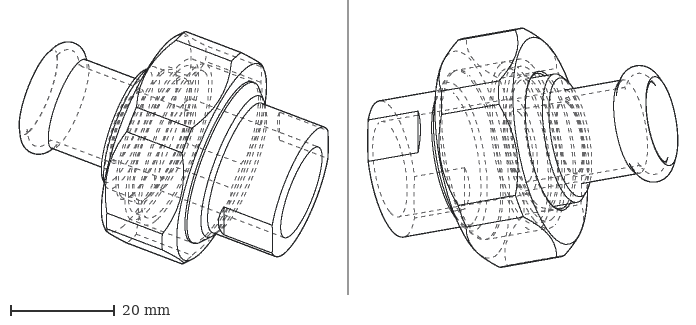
import cadquery as cq
import math

overall_length = 56.0

bead_lip_radius = 8.7
bead_start = 0.7
bead_edge_radius = 9.9
bead_peak = 3.2
bead_radius = 11.35
bead_end = 2 * bead_peak - bead_start
bead_foot = 5.95
bead_foot_radius = 18.65 / 2
tube_start = 6.45
tube_radius = 18.3 / 2
tube_fillet = 0.8
collar_start = 18.9
collar_radius = 12.55
collar_chamfer = 0.95
flange_radius = 30.3 / 2

lip_radius = 15.7 / 2
lip_middle = 0.8
lip_end = 1.4
lip_end_radius = 8.1
groove_start = 2.1
groove_edge_radius = 9.2
groove_top_radius = 9.85
groove_end = 2 * bead_peak - groove_start
groove_foot = 4.65
groove_foot_radius = 8.6
inner_bore_radius = 15.3 / 2
waist_radius = 14.0 / 2
waist_chamfer = 0.15

nut_start = 22.95
nut_end = 39.05
across_flats = 41.0
corner_diameter = 44.7
nut_face_radius = 20.2
nut_chamfer_length = 2.1
nut_bore_radius = 26.5 / 2
nut_bore_chamfer = 0.35
nut_lip_end = nut_start + 3.35

socket_start = nut_lip_end + 2.8
shoulder_radius = 33.1 / 2
shoulder_end = 39.5
cone_end = 41.5
cone_end_radius = shoulder_radius - (cone_end - shoulder_end)
neck_start = 41.85
neck_radius = 13.8
barrel_start = 42.35
barrel_radius = 13.3
end_chamfer_length = 0.3
end_face_radius = 11.1
socket_bore_radius = 18.65 / 2
flat_start = 45.4
flat_offset = 12.55


def turn(profile):
    """Revolve a closed (x, radius) profile about the X axis."""
    return profile.close().revolve(360, (0, 0, 0), (1, 0, 0))


def make_tail():
    fillet_start = collar_start - tube_fillet
    fillet_top = tube_radius + tube_fillet
    return turn(
        cq.Workplane("XY")
        .moveTo(0, bead_lip_radius)
        .lineTo(bead_start, bead_edge_radius)
        .threePointArc((bead_peak, bead_radius), (bead_end, bead_edge_radius))
        .lineTo(bead_foot, bead_foot_radius)
        .tangentArcPoint((tube_start, tube_radius), relative=False)
        .lineTo(fillet_start, tube_radius)
        .tangentArcPoint((collar_start, fillet_top), relative=False)
        .lineTo(collar_start, collar_radius - collar_chamfer)
        .lineTo(collar_start + collar_chamfer, collar_radius)
        .lineTo(nut_lip_end, collar_radius)
        .lineTo(nut_lip_end, flange_radius)
        .lineTo(socket_start, flange_radius)
        .lineTo(socket_start, waist_radius)
        .lineTo(collar_start + waist_chamfer, waist_radius)
        .lineTo(collar_start, waist_radius + waist_chamfer)
        .lineTo(collar_start, inner_bore_radius)
        .lineTo(tube_start, inner_bore_radius)
        .tangentArcPoint((groove_foot, groove_foot_radius), relative=False)
        .lineTo(groove_end, groove_edge_radius)
        .threePointArc((bead_peak, groove_top_radius), (groove_start, groove_edge_radius))
        .lineTo(lip_end, lip_end_radius)
        .threePointArc((lip_middle, lip_radius), (0, bead_lip_radius))
    )


def make_nut():
    corner_radius = corner_diameter / 2
    hexagon = (
        cq.Workplane("YZ", origin=(nut_start, 0, 0))
        .polygon(6, across_flats / math.cos(math.pi / 6))
        .extrude(nut_end - nut_start)
    )
    ring = turn(
        cq.Workplane("XY")
        .moveTo(nut_start, nut_face_radius)
        .lineTo(nut_start + nut_chamfer_length, corner_radius)
        .lineTo(nut_end - nut_chamfer_length, corner_radius)
        .lineTo(nut_end, nut_face_radius)
        .lineTo(nut_end, shoulder_radius)
        .lineTo(nut_lip_end, shoulder_radius)
        .lineTo(nut_lip_end, nut_bore_radius)
        .lineTo(nut_start + nut_bore_chamfer, nut_bore_radius)
        .lineTo(nut_start, nut_bore_radius + nut_bore_chamfer)
    )
    return hexagon.intersect(ring)


def make_flat_cutter():
    """Block that cuts the wrench flat on the +Y side, with a 45 degree run-out."""
    depth = 2 * (barrel_radius - flat_offset)
    return (
        cq.Workplane("XY")
        .moveTo(flat_start, flat_offset)
        .lineTo(overall_length, flat_offset)
        .lineTo(overall_length, flat_offset + depth)
        .lineTo(flat_start - depth, flat_offset + depth)
        .close()
        .extrude(barrel_radius, both=True)
    )


def make_socket_end():
    body = turn(
        cq.Workplane("XY")
        .moveTo(socket_start, socket_bore_radius)
        .lineTo(socket_start, shoulder_radius)
        .lineTo(shoulder_end, shoulder_radius)
        .lineTo(cone_end, cone_end_radius)
        .lineTo(neck_start, neck_radius)
        .tangentArcPoint((barrel_start, barrel_radius), relative=False)
        .lineTo(overall_length - end_chamfer_length, barrel_radius)
        .lineTo(overall_length, end_face_radius)
        .lineTo(overall_length, socket_bore_radius)
    )
    flat_cutter = make_flat_cutter()
    return body.cut(flat_cutter).cut(flat_cutter.mirror("XZ"))


tail = make_tail()
nut = make_nut()
socket_end = make_socket_end()

result = cq.Compound.makeCompound([tail.val(), nut.val(), socket_end.val()])